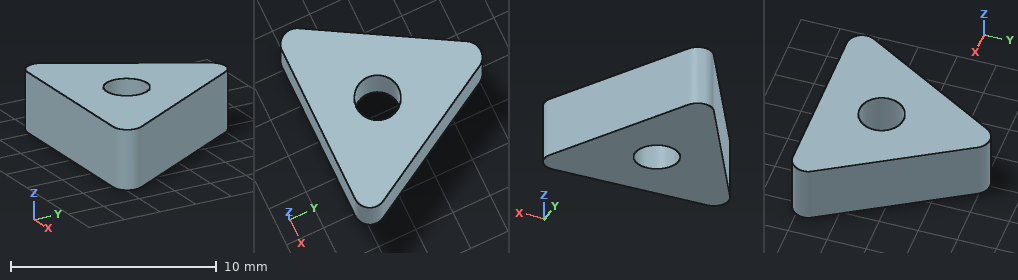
import cadquery as cq
import math

inscribed_diameter = 6.35
thickness = 3.175
nose_radius = 0.79375
hole_diameter = 2.26

corner_count = 3
corner_distance = inscribed_diameter
first_corner_angle = 90


def corner_point(index):
    """Sharp corner of the triangle, counted anticlockwise from the +Y nose."""
    angle = math.radians(first_corner_angle + index * 360 / corner_count)
    return corner_distance * math.cos(angle), corner_distance * math.sin(angle)


def make_body():
    """Triangular plate centred on the Z axis, with its upright edges rounded."""
    corners = [corner_point(index) for index in range(corner_count)]
    plate = cq.Workplane("XY").polyline(corners).close().extrude(thickness)
    return plate.edges("|Z").fillet(nose_radius)


def cut_centre_hole(body):
    """Plain through hole on the axis of the inscribed circle."""
    hole = cq.Workplane("XY").circle(hole_diameter / 2).extrude(thickness)
    return body.cut(hole)


result = cut_centre_hole(make_body())